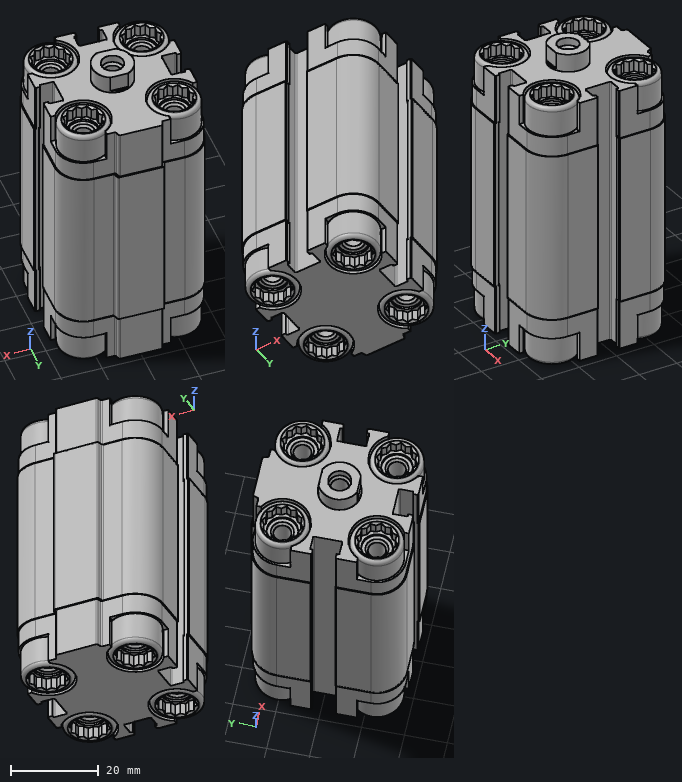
import cadquery as cq
import math

TOTAL_HEIGHT = 72.5
ROD_EXPOSED = 4.6
HOUSING_HEIGHT = TOTAL_HEIGHT - ROD_EXPOSED
CAP_HEIGHT = 12.5

BARREL_WIDTH = 36.0
BARREL_HALF = BARREL_WIDTH / 2
CAP_STEP = 0.255
CAP_HALF = BARREL_HALF - CAP_STEP
HOLE_OFFSET = 11.0

BARREL_DEPTH = 37.5
BARREL_TAB_REACH = BARREL_DEPTH - BARREL_HALF
BARREL_TAB_HALF = 5.6
CAP_TAB_REACH = 19.15
CAP_TAB_HALF = 5.2
TAB_FLARE = 0.4
TAB_FILLET = 0.35

SLOT_FLOOR = 13.05
SLOT_HALF = 3.4
MOUTH_HALF = 2.75
LIP_THICKNESS = 1.2
LIP_CHAMFER = 0.255
SLOT_FILLET = 0.3
SLOT_ANGLES = (90, 180, 270)

BOSS_DIAMETER = 12.5
BOSS_FILLET = 1.0
POCKET_DEPTH = 7.5
POCKET_DIAMETER = 13.05
POCKET_WALL = 7.75
CORNER_ANGLES = (0, 90, 180, 270)

SOCKET_FLATS = 8.1
HEXAGON_TURN = 30
SOCKET_DEPTH = 3.25
SOCKET_MOUTH_DIAMETER = 10.0
MOUTH_SLOPE = 30
STEP_DIAMETER = 7.2
STEP_DEPTH = 3.85
CONE_DIAMETER = 5.3
BOLT_DIAMETER = 4.1
CONE_DEPTH = (CONE_DIAMETER - BOLT_DIAMETER) / 2

ROD_DIAMETER = 10.0
ROD_INSERTION = CAP_HEIGHT
ROD_FLATS = 9.0
ROD_COLLAR = 0.5
THREAD_DIAMETER = 4.1
THREAD_DEPTH = 10.15
RELIEF_DIAMETER = 5.3
RELIEF_DEPTH = 1.95
RELIEF_CONE = (RELIEF_DIAMETER - THREAD_DIAMETER) / 2
DRILL_SLOPE = 30
DRILL_TIP = THREAD_DIAMETER / 2 * math.tan(math.radians(DRILL_SLOPE))


def turned(shape, angle):
    """Copy of a shape turned about the centre axis."""
    return shape.rotate((0, 0, 0), (0, 0, 1), angle)


def slot_cutter(half, height):
    """T-slot in the +Y side of a section whose flat sides lie `half` from the axis."""
    undercut_depth = half - LIP_THICKNESS - SLOT_FLOOR
    undercut = (
        cq.Workplane("XY")
        .box(2 * SLOT_HALF, undercut_depth, height, centered=(True, False, False))
        .translate((0, SLOT_FLOOR, 0))
        .edges("|Z").fillet(SLOT_FILLET)
    )
    flare_half = MOUTH_HALF + LIP_CHAMFER
    mouth = (
        cq.Workplane("XY")
        .polyline([
            (-MOUTH_HALF, SLOT_FLOOR + undercut_depth / 2),
            (MOUTH_HALF, SLOT_FLOOR + undercut_depth / 2),
            (MOUTH_HALF, half - LIP_CHAMFER),
            (flare_half, half),
            (-flare_half, half),
            (-MOUTH_HALF, half - LIP_CHAMFER),
        ])
        .close().extrude(height)
    )
    return undercut.union(mouth)


def housing_section(half, tab_reach, tab_half, height):
    """Square section with round corners, the tab on +Y and slots on the other sides."""
    section = (
        cq.Workplane("XY")
        .rect(2 * half, 2 * half).extrude(height)
        .edges("|Z").fillet(half - HOLE_OFFSET)
    )
    base_half = tab_half + TAB_FLARE
    tab = (
        cq.Workplane("XY")
        .polyline([
            (-base_half, SLOT_FLOOR),
            (-base_half, half),
            (-tab_half, tab_reach),
            (tab_half, tab_reach),
            (base_half, half),
            (base_half, SLOT_FLOOR),
        ])
        .close().extrude(height)
        .edges("|Z and >Y").fillet(TAB_FILLET)
    )
    section = section.union(tab)
    for base_x in (-base_half, base_half):
        base_edge = cq.selectors.NearestToPointSelector((base_x, half, height / 2))
        section = section.edges(base_edge).fillet(TAB_FILLET)
    cutter = slot_cutter(half, height)
    for angle in SLOT_ANGLES:
        section = section.cut(turned(cutter, angle))
    return section


def corner_pocket():
    """Pocket round the +X +Y boss, open to both sides, cut down from the cap's outer face at Z = 0."""
    ring = cq.Workplane("XY").center(HOLE_OFFSET, HOLE_OFFSET).circle(POCKET_DIAMETER / 2)
    corner = (
        cq.Workplane("XY")
        .rect(BARREL_HALF - POCKET_WALL, BARREL_HALF - POCKET_WALL, centered=False)
        .extrude(-POCKET_DEPTH)
        .translate((POCKET_WALL, POCKET_WALL, 0))
    )
    return ring.extrude(-POCKET_DEPTH).union(corner)


def corner_boss():
    """Round boss flush with the cap's outer face at Z = 0, its rim rounded."""
    return (
        cq.Workplane("XY")
        .center(HOLE_OFFSET, HOLE_OFFSET)
        .circle(BOSS_DIAMETER / 2).extrude(-POCKET_DEPTH)
        .faces(">Z").edges().fillet(BOSS_FILLET)
    )


def bolt_hole_end():
    """Outer end of a bolt hole: coned mouth, twelve-point socket, step and lead-in cone."""
    corner_diameter = SOCKET_FLATS / math.cos(math.radians(HEXAGON_TURN))
    hexagon = cq.Workplane("XY").polygon(6, corner_diameter).extrude(-SOCKET_DEPTH)
    socket = hexagon.union(turned(hexagon, HEXAGON_TURN))
    mouth_radius = SOCKET_MOUTH_DIAMETER / 2
    mouth_depth = (mouth_radius - STEP_DIAMETER / 2) * math.tan(math.radians(MOUTH_SLOPE))
    stepped_bore = (
        cq.Workplane("XZ")
        .polyline([
            (0, 0),
            (mouth_radius, 0),
            (STEP_DIAMETER / 2, -mouth_depth),
            (STEP_DIAMETER / 2, -STEP_DEPTH),
            (CONE_DIAMETER / 2, -STEP_DEPTH),
            (BOLT_DIAMETER / 2, -STEP_DEPTH - CONE_DEPTH),
            (0, -STEP_DEPTH - CONE_DEPTH),
        ])
        .close().revolve(360, (0, 0, 0), (0, 1, 0))
    )
    return socket.union(stepped_bore).translate((HOLE_OFFSET, HOLE_OFFSET, 0))


def end_cap():
    """Cap with its outer face at Z = 0 and its inner face below."""
    cap = housing_section(CAP_HALF, CAP_TAB_REACH, CAP_TAB_HALF, CAP_HEIGHT)
    cap = cap.translate((0, 0, -CAP_HEIGHT))
    pocket = corner_pocket()
    boss = corner_boss()
    hole_end = bolt_hole_end()
    for angle in CORNER_ANGLES:
        cap = cap.cut(turned(pocket, angle))
        cap = cap.union(turned(boss, angle))
        cap = cap.cut(turned(hole_end, angle))
    return cap


def make_housing():
    """Barrel with a mirrored pair of end caps, four bolt holes and the rod bore, standing on Z = 0."""
    barrel_height = HOUSING_HEIGHT - 2 * CAP_HEIGHT
    barrel = housing_section(BARREL_HALF, BARREL_TAB_REACH, BARREL_TAB_HALF, barrel_height)
    barrel = barrel.translate((0, 0, CAP_HEIGHT))
    cap = end_cap()
    top_cap = cap.translate((0, 0, HOUSING_HEIGHT))
    bottom_cap = cap.mirror("XY")
    bolt_holes = (
        cq.Workplane("XY")
        .rect(2 * HOLE_OFFSET, 2 * HOLE_OFFSET, forConstruction=True).vertices()
        .circle(BOLT_DIAMETER / 2).extrude(HOUSING_HEIGHT)
    )
    rod_bore = (
        cq.Workplane("XY", origin=(0, 0, HOUSING_HEIGHT))
        .circle(ROD_DIAMETER / 2).extrude(-ROD_INSERTION)
    )
    return barrel.union(top_cap).union(bottom_cap).cut(bolt_holes).cut(rod_bore)


def make_rod():
    """Round rod seated in the upper cap, its tip flattened and drilled."""
    rod = (
        cq.Workplane("XY", origin=(0, 0, HOUSING_HEIGHT - ROD_INSERTION))
        .circle(ROD_DIAMETER / 2).extrude(ROD_INSERTION + ROD_EXPOSED)
    )
    flat_height = ROD_EXPOSED - ROD_COLLAR
    flats = (
        cq.Workplane("XY", origin=(0, 0, TOTAL_HEIGHT))
        .rect(2 * ROD_DIAMETER, 2 * ROD_DIAMETER)
        .rect(2 * ROD_DIAMETER, ROD_FLATS)
        .extrude(-flat_height)
    )
    hole = (
        cq.Workplane("XZ", origin=(0, 0, TOTAL_HEIGHT))
        .polyline([
            (0, 0),
            (RELIEF_DIAMETER / 2, 0),
            (RELIEF_DIAMETER / 2, -RELIEF_DEPTH),
            (THREAD_DIAMETER / 2, -RELIEF_DEPTH - RELIEF_CONE),
            (THREAD_DIAMETER / 2, -THREAD_DEPTH),
            (0, -THREAD_DEPTH - DRILL_TIP),
        ])
        .close().revolve(360, (0, 0, 0), (0, 1, 0))
    )
    return rod.cut(flats).cut(hole)


housing = make_housing()
rod = make_rod()
result = cq.Compound.makeCompound([housing.solids().val(), rod.solids().val()])